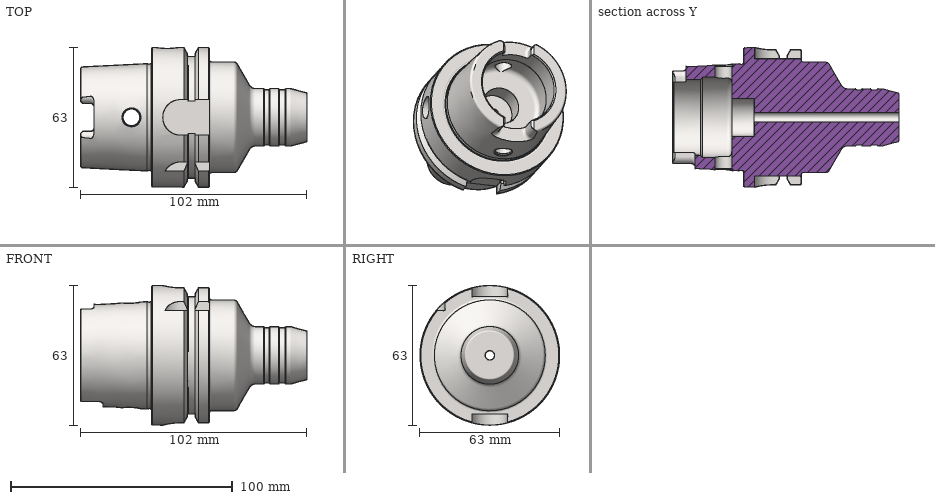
import cadquery as cq
import math


shank_length = 32.0
gauge_distance = 6.3
gauge_radius = 48.04 / 2
taper_slope = 1 / 20
shank_end_round = 1.0
relief_start = -2.0
relief_slope_end = -1.3
relief_floor_end = -1.0
relief_depth = 0.2
relief_face_depth = 0.1
relief_face_radius = 25.65
mouth_radius = 34 / 2
mouth_length = 12.5
mouth_chamfer = 0.6
chamber_radius = 36 / 2
chamber_end = -5.3
chamber_fillet = 2.2
thread_radius = 16.92 / 2
thread_depth = 10.0
coolant_radius = 4.13 / 2

flange_radius = 63 / 2
flange_width = 26.0
flange_chamfer = 0.4
groove_radius = 55 / 2
groove_start = 16.05
groove_end = 19.55
groove_wall_radius = 28.85
groove_flare_angle = 60.0
groove_fillet = 0.6

overall_length = 102.0
nose_end = overall_length - shank_length
body_radius = 50 / 2
body_fillet = 1.0
shoulder_start = 36.9
shoulder_round = 2.0
shoulder_angle = 60.0
nose_radius = 26 / 2
nose_fillet = 3.0
nose_taper_start = 62.6
nose_taper_angle = 15.0
nose_taper_round = 1.5
nose_end_round = 0.6
ring_radius = 25 / 2
ring_groove_spans = [(50.4, 53.4), (57.1, 60.5)]

shank_slot_half_width = 6.2
shank_slot_depths = {1: 6.0, -1: 10.0}
shank_slot_shoulder = 20.9
shank_slot_round = 3.0
shank_slot_fillet = 1.45
shank_slot_chamfer = 1.0
cutter_radius = 8.0
cutter_start = 13.0
flange_slot_floor = 26.5
notch_offset = 20.1
cross_hole_radius = 7.5 / 2
cross_hole_x = -9.1
cross_hole_sink_radius = 8.5 / 2
chip_hole_radius = 10 / 2
chip_hole_depth = 4.6
chip_hole_x = 7.0


def taper_radius(x):
    """Radius of the shank taper at a position along the axis."""
    return gauge_radius + taper_slope * (x + gauge_distance)


def revolve(profile):
    """Turn a closed (x, radius) profile around the X axis."""
    return profile.close().revolve(360, (0, 0, 0), (1, 0, 0))


def make_shank():
    round_end = -shank_length + shank_end_round
    round_radius = taper_radius(round_end)
    return revolve(
        cq.Workplane("XY")
        .moveTo(-shank_length, 0)
        .lineTo(-shank_length, round_radius - shank_end_round)
        .radiusArc((round_end, round_radius), shank_end_round)
        .lineTo(0, taper_radius(0))
        .lineTo(0, 0)
    )


def make_relief():
    """Undercut ring in the corner between the taper and the flange face."""
    taper_edge = taper_radius(relief_start)
    floor_radius = taper_edge - relief_depth
    fillet = relief_face_depth - relief_floor_end
    return revolve(
        cq.Workplane("XY")
        .moveTo(relief_start, taper_edge)
        .lineTo(relief_slope_end, floor_radius)
        .lineTo(relief_floor_end, floor_radius)
        .radiusArc((relief_face_depth, floor_radius + fillet), -fillet)
        .lineTo(0, relief_face_radius)
        .lineTo(relief_start, relief_face_radius)
    )


def make_flange():
    flare = (flange_radius - groove_wall_radius) / math.tan(math.radians(groove_flare_angle))
    return revolve(
        cq.Workplane("XY")
        .moveTo(0, 0)
        .lineTo(0, flange_radius - flange_chamfer)
        .lineTo(flange_chamfer, flange_radius)
        .lineTo(groove_start - flare, flange_radius)
        .lineTo(groove_start, groove_wall_radius)
        .lineTo(groove_start, groove_radius + groove_fillet)
        .radiusArc((groove_start + groove_fillet, groove_radius), -groove_fillet)
        .lineTo(groove_end, groove_radius)
        .lineTo(groove_end, groove_wall_radius)
        .lineTo(groove_end + flare, flange_radius)
        .lineTo(flange_width - flange_chamfer, flange_radius)
        .lineTo(flange_width, flange_radius - flange_chamfer)
        .lineTo(flange_width, 0)
    )


def make_body_and_nose():
    shoulder_turn = math.radians(shoulder_angle)
    shoulder_x = shoulder_start + shoulder_round * math.sin(shoulder_turn)
    shoulder_radius = body_radius - shoulder_round * (1 - math.cos(shoulder_turn))
    fillet_radius = nose_radius + nose_fillet * (1 - math.cos(shoulder_turn))
    fillet_x = shoulder_x + (shoulder_radius - fillet_radius) / math.tan(shoulder_turn)
    nose_straight_start = fillet_x + nose_fillet * math.sin(shoulder_turn)
    taper_turn = math.radians(nose_taper_angle)
    round_run = nose_taper_round * math.tan(taper_turn / 2)
    round_end_x = nose_taper_start + round_run * math.cos(taper_turn)
    round_end_radius = nose_radius - round_run * math.sin(taper_turn)
    tip_radius = nose_radius - (nose_end - nose_taper_start) * math.tan(taper_turn)
    return revolve(
        cq.Workplane("XY")
        .moveTo(flange_width, 0)
        .lineTo(flange_width, body_radius + body_fillet)
        .radiusArc((flange_width + body_fillet, body_radius), -body_fillet)
        .lineTo(shoulder_start, body_radius)
        .radiusArc((shoulder_x, shoulder_radius), shoulder_round)
        .lineTo(fillet_x, fillet_radius)
        .radiusArc((nose_straight_start, nose_radius), -nose_fillet)
        .lineTo(nose_taper_start - round_run, nose_radius)
        .radiusArc((round_end_x, round_end_radius), nose_taper_round)
        .lineTo(nose_end, tip_radius)
        .lineTo(nose_end, 0)
    ).faces(">X").edges().fillet(nose_end_round)


def make_ring_groove(start, end):
    """Ring with 45 degree walls that opens from the groove floor to the nose surface."""
    depth = nose_radius - ring_radius
    return revolve(
        cq.Workplane("XY")
        .moveTo(start, nose_radius)
        .lineTo(start + depth, ring_radius)
        .lineTo(end - depth, ring_radius)
        .lineTo(end, nose_radius)
    )


def make_hollow():
    mouth_end = mouth_length - shank_length
    undercut_end = mouth_end + chamber_radius - mouth_radius
    return revolve(
        cq.Workplane("XY")
        .moveTo(-shank_length, 0)
        .lineTo(-shank_length, mouth_radius + mouth_chamfer)
        .lineTo(-shank_length + mouth_chamfer, mouth_radius)
        .lineTo(mouth_end, mouth_radius)
        .lineTo(undercut_end, chamber_radius)
        .lineTo(chamber_end - chamber_fillet, chamber_radius)
        .radiusArc((chamber_end, chamber_radius - chamber_fillet), chamber_fillet)
        .lineTo(chamber_end, thread_radius)
        .lineTo(chamber_end + thread_depth, thread_radius)
        .lineTo(chamber_end + thread_depth, coolant_radius)
        .lineTo(nose_end, coolant_radius)
        .lineTo(nose_end, 0)
    )


def make_shank_slot(side, depth):
    """Drive slot in the shank end, with rounded outer corners and a filleted end wall."""
    straight_height = shank_slot_shoulder - shank_slot_round
    open_half_width = shank_slot_half_width + shank_slot_round
    clear = flange_radius
    slot = (
        cq.Workplane("YZ", origin=(-shank_length, 0, 0))
        .moveTo(-shank_slot_half_width, 0)
        .lineTo(-shank_slot_half_width, straight_height)
        .radiusArc((-open_half_width, shank_slot_shoulder), -shank_slot_round)
        .lineTo(-clear, shank_slot_shoulder)
        .lineTo(-clear, clear)
        .lineTo(clear, clear)
        .lineTo(clear, shank_slot_shoulder)
        .lineTo(open_half_width, shank_slot_shoulder)
        .radiusArc((shank_slot_half_width, straight_height), -shank_slot_round)
        .lineTo(shank_slot_half_width, 0)
        .close()
        .extrude(depth)
    )
    slot = slot.faces(">X").edges("not(<Z or >Z or <Y or >Y)").fillet(shank_slot_fillet)
    lead_in = (
        cq.Workplane("XY")
        .moveTo(-shank_length, -shank_slot_half_width - shank_slot_chamfer)
        .lineTo(-shank_length, shank_slot_half_width + shank_slot_chamfer)
        .lineTo(-shank_length + shank_slot_chamfer, shank_slot_half_width)
        .lineTo(-shank_length + shank_slot_chamfer, -shank_slot_half_width)
        .close()
        .extrude(shank_slot_shoulder)
    )
    slot = slot.union(lead_in)
    return slot if side > 0 else slot.mirror("XY")


def make_milled_pocket(y_centre, floor):
    """Cut of an upright end mill that leaves the flange through its rear face."""
    height = flange_radius - floor
    run = flange_width - cutter_start
    base = cq.Workplane("XY", origin=(cutter_start, y_centre, floor))
    channel = base.rect(run, 2 * cutter_radius).extrude(height).translate((run / 2, 0, 0))
    return base.circle(cutter_radius).extrude(height).union(channel)


def make_flange_slots():
    slot = make_milled_pocket(0, flange_slot_floor)
    return slot.union(slot.mirror("XY"))


def make_notch():
    return make_milled_pocket(-notch_offset - cutter_radius, notch_offset)


def make_cross_hole():
    """Hole across the shank along Z, countersunk at both ends."""
    crown = taper_radius(cross_hole_x)
    rim = math.sqrt(crown**2 - cross_hole_sink_radius**2)
    hole = (
        cq.Workplane("XY", origin=(cross_hole_x, 0, -flange_radius))
        .circle(cross_hole_radius)
        .extrude(2 * flange_radius)
    )
    sink_start = rim - (cross_hole_sink_radius - cross_hole_radius)
    sink = (
        cq.Workplane("XZ")
        .moveTo(0, sink_start)
        .lineTo(cross_hole_radius, sink_start)
        .lineTo(cross_hole_sink_radius, rim)
        .lineTo(cross_hole_sink_radius, flange_radius)
        .lineTo(0, flange_radius)
        .close()
        .revolve(360, (0, 0, 0), (0, 1, 0))
        .translate((cross_hole_x, 0, 0))
    )
    return hole.union(sink).union(sink.mirror("XY"))


def make_chip_hole():
    """Blind hole for the data chip, on the +Y side of the flange."""
    return (
        cq.Workplane("XZ", origin=(chip_hole_x, flange_radius, 0))
        .circle(chip_hole_radius)
        .extrude(chip_hole_depth)
    )


result = make_shank().union(make_flange().cut(make_flange_slots()).cut(make_notch()))
result = result.cut(make_relief()).union(make_body_and_nose())
for groove_span in ring_groove_spans:
    result = result.cut(make_ring_groove(*groove_span))
result = result.cut(make_hollow())
for slot_side, slot_depth in shank_slot_depths.items():
    result = result.cut(make_shank_slot(slot_side, slot_depth))
result = result.cut(make_cross_hole()).cut(make_chip_hole())